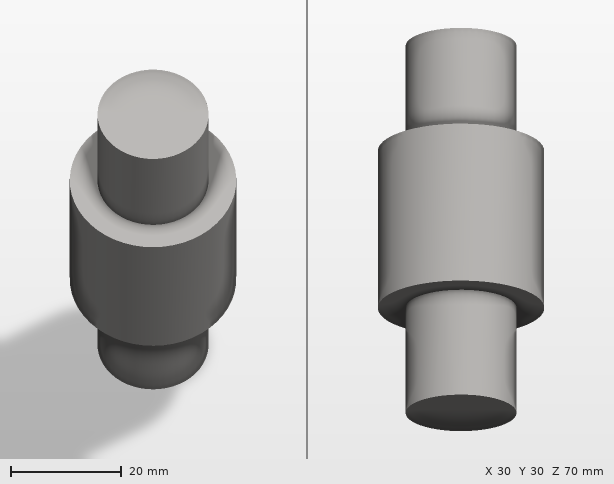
import cadquery as cq

total_length = 70.0
body_diameter = 30.0
journal_diameter = 20.0
journal_length = 20.0

body_length = total_length - 2 * journal_length


def cylinder(diameter, length):
    """Upright cylinder centred on the origin."""
    return cq.Workplane("XY").cylinder(length, diameter / 2)


core = cylinder(journal_diameter, total_length)
body = cylinder(body_diameter, body_length)

result = core.union(body)